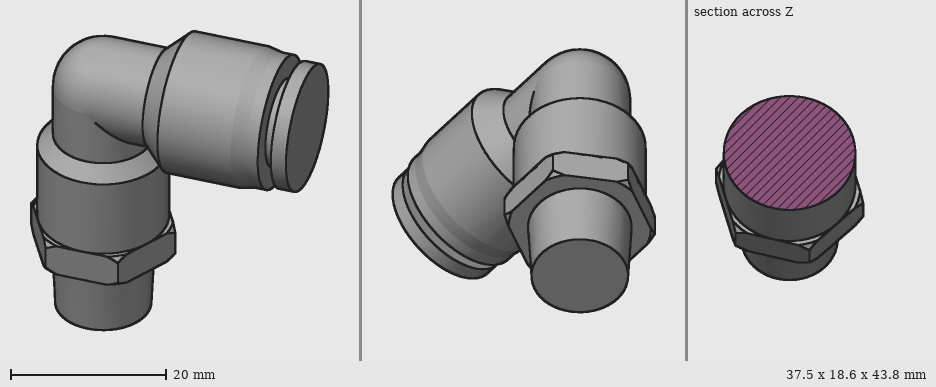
import cadquery as cq
import math

socket_diameter = 18.6
collar_diameter = 17.8
neck_diameter = 11.7
release_ring_diameter = 16.8
elbow_diameter = 13.0
socket_cone_start = 7.58
socket_start = 10.55
socket_end = 20.5
taper_end = 22.45
collar_end = 24.05
neck_end = 25.65
socket_tip = 27.73

overall_height = 43.8
thread_tip_diameter = 12.45
thread_base_diameter = 13.35
sleeve_diameter = 17.0
hex_across_flats = sleeve_diameter
hex_bottom = 9.45
hex_top = 13.97
sleeve_top = 25.05
shoulder_top = 27.0
socket_axis_z = overall_height - socket_diameter / 2

hex_across_corners = hex_across_flats / math.cos(math.pi / 6)
hex_chamfer_height = 0.65
hex_chamfer_depth = 0.65


def revolve_profile(stations):
    """Revolve (position, diameter) stations about the Z axis."""
    points = [(diameter / 2, position) for position, diameter in stations]
    outline = [(0, stations[0][0])] + points + [(0, stations[-1][0])]
    return cq.Workplane("XZ").polyline(outline).close().revolve(360, (0, 0), (0, 1))


def make_stem():
    """Tapered thread, sleeve, sloping shoulder and vertical elbow leg."""
    return revolve_profile([
        (0, thread_tip_diameter),
        (hex_bottom, thread_base_diameter),
        (hex_bottom, sleeve_diameter),
        (sleeve_top, sleeve_diameter),
        (shoulder_top, elbow_diameter),
        (socket_axis_z, elbow_diameter),
    ])


def make_hexagon():
    """Hexagon with corners on the X axis, chamfered at both ends."""
    prism = (
        cq.Workplane("XY", origin=(0, 0, hex_bottom))
        .polygon(6, hex_across_corners)
        .extrude(hex_top - hex_bottom)
    )
    chamfered_diameter = hex_across_corners - 2 * hex_chamfer_depth
    envelope = revolve_profile([
        (hex_bottom, chamfered_diameter),
        (hex_bottom + hex_chamfer_height, hex_across_corners),
        (hex_top - hex_chamfer_height, hex_across_corners),
        (hex_top, chamfered_diameter),
    ])
    return prism.intersect(envelope)


def make_socket():
    """Horizontal elbow leg, socket body, collar, neck and release ring."""
    socket = revolve_profile([
        (0, elbow_diameter),
        (socket_cone_start, elbow_diameter),
        (socket_start, socket_diameter),
        (socket_end, socket_diameter),
        (taper_end, collar_diameter),
        (collar_end, collar_diameter),
        (collar_end, neck_diameter),
        (neck_end, neck_diameter),
        (neck_end, release_ring_diameter),
        (socket_tip, release_ring_diameter),
    ])
    return socket.rotate((0, 0, 0), (0, 1, 0), 90).translate((0, 0, socket_axis_z))


elbow_ball = cq.Workplane("XY", origin=(0, 0, socket_axis_z)).sphere(elbow_diameter / 2)

result = make_stem().union(make_hexagon()).union(make_socket()).union(elbow_ball)